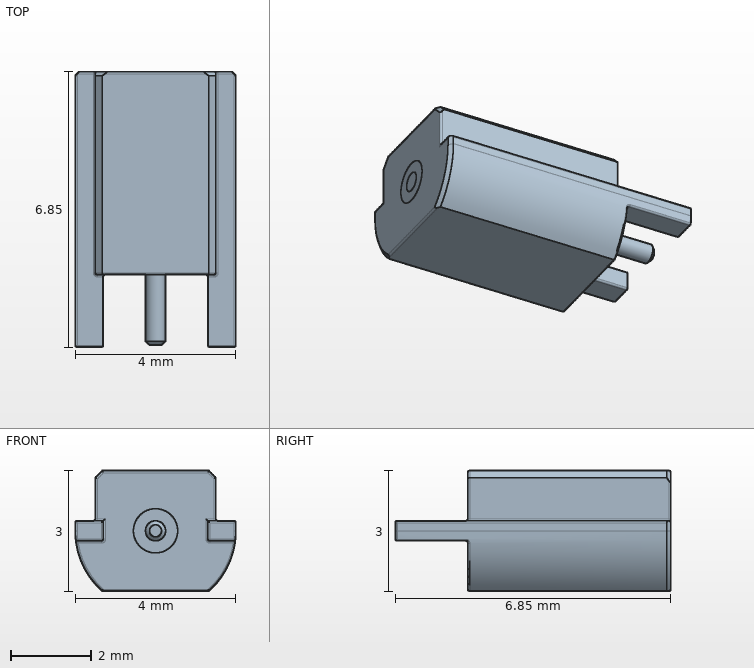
import cadquery as cq
import math


shell_radius = 2.0
half_height = 1.5
block_half_width = 1.5
housing_length = 5.05
top_bevel = 0.18
back_chamfer = 0.1
edge_radius = 0.05

leg_half_height = 0.25
leg_width = 0.7
leg_length = 1.8
leg_inner_x = shell_radius - leg_width

insulator_radius = 0.55
pin_radius = 0.25
pin_protrusion = 1.75
pin_tip_chamfer = 0.1

flat_half_width = math.sqrt(shell_radius**2 - half_height**2)
leg_bottom_x = math.sqrt(shell_radius**2 - leg_half_height**2)
flank_end_angle = math.atan2(half_height, flat_half_width)

tolerance = 0.001


def flank_point(angle, side):
    """Point on the rounded flank at an angle below the horizontal."""
    return (side * shell_radius * math.cos(angle), -shell_radius * math.sin(angle))


def extrude_along_y(sketch, y_start, length):
    """Extrude an XZ sketch in the +Y direction from y_start."""
    return sketch.extrude(-length).translate((0, y_start, 0))


def cylinder_along_y(radius, y_start, y_end):
    return extrude_along_y(cq.Workplane("XZ").circle(radius), y_start, y_end - y_start)


def make_body():
    """Main block: flat bottom, rounded flanks, side ledges and a bevelled top."""
    bevel_x = block_half_width - top_bevel
    bevel_z = half_height - top_bevel
    sketch = (
        cq.Workplane("XZ")
        .moveTo(-flat_half_width, -half_height)
        .lineTo(flat_half_width, -half_height)
        .threePointArc(flank_point(flank_end_angle / 2, 1), (shell_radius, 0))
        .lineTo(shell_radius, leg_half_height)
        .lineTo(block_half_width, leg_half_height)
        .lineTo(block_half_width, bevel_z)
        .lineTo(bevel_x, half_height)
        .lineTo(-bevel_x, half_height)
        .lineTo(-block_half_width, bevel_z)
        .lineTo(-block_half_width, leg_half_height)
        .lineTo(-shell_radius, leg_half_height)
        .lineTo(-shell_radius, 0)
        .threePointArc(flank_point(flank_end_angle / 2, -1), (-flat_half_width, -half_height))
        .close()
    )
    return extrude_along_y(sketch, 0, housing_length)


def make_leg(side):
    """One leg, flush with the rounded flank; it overlaps the ledge by its own width."""
    arc_middle = flank_point(math.asin(leg_half_height / shell_radius) / 2, side)
    sketch = (
        cq.Workplane("XZ")
        .moveTo(side * leg_inner_x, -leg_half_height)
        .lineTo(side * leg_bottom_x, -leg_half_height)
        .threePointArc(arc_middle, (side * shell_radius, 0))
        .lineTo(side * shell_radius, leg_half_height)
        .lineTo(side * leg_inner_x, leg_half_height)
        .close()
    )
    return extrude_along_y(sketch, -leg_length, leg_length + leg_width)


def is_back_chamfer_edge(edge):
    """Back edges of the flanks, the ledge sides and the top bevels."""
    box = edge.BoundingBox()
    on_back = box.ymin > housing_length - tolerance
    on_flank = max(abs(box.xmin), abs(box.xmax)) > shell_radius - tolerance and box.zlen > tolerance
    on_bevel = abs(box.zlen - top_bevel) < tolerance
    return on_back and (on_flank or on_bevel)


def is_back_round_edge(edge):
    """Back edges of the bottom, the ledge tops and the block's top and sides."""
    box = edge.BoundingBox()
    on_back = box.ymin > housing_length - tolerance
    horizontal = box.zlen < tolerance
    block_side = box.xlen < tolerance and abs(abs(box.xmin) - block_half_width) < tolerance
    return on_back and (horizontal or block_side)


def is_front_round_edge(edge):
    """Front rim, leg tips and roots, and the long edges of the ledges and legs."""
    box = edge.BoundingBox()
    center = edge.Center()
    x = abs(center.x)
    if box.ylen < tolerance:
        return center.y < tolerance
    along = box.xlen < tolerance and box.zlen < tolerance
    at_ledge_top = abs(center.z - leg_half_height) < tolerance
    at_leg_bottom = abs(center.z + leg_half_height) < tolerance
    ledge_rim = at_ledge_top and abs(x - shell_radius) < tolerance
    ledge_root = at_ledge_top and abs(x - block_half_width) < tolerance
    leg_lower_rim = at_leg_bottom and abs(x - leg_bottom_x) < tolerance
    leg_inner_rim = at_leg_bottom and abs(x - leg_inner_x) < tolerance
    return along and (ledge_rim or ledge_root or leg_lower_rim or leg_inner_rim)


def pick_edges(part, is_wanted):
    """Select the edges of a part that meet a test."""
    return part.newObject([edge for edge in part.edges().vals() if is_wanted(edge)])


def make_housing():
    housing = make_body()
    for side in (-1, 1):
        housing = housing.union(make_leg(side))
    housing = housing.clean()
    housing = pick_edges(housing, is_back_chamfer_edge).chamfer(back_chamfer)
    housing = pick_edges(housing, is_back_round_edge).fillet(edge_radius)
    housing = pick_edges(housing, is_front_round_edge).fillet(edge_radius)
    return housing.cut(cylinder_along_y(insulator_radius, 0, housing_length))


def make_insulator():
    sleeve = cylinder_along_y(insulator_radius, 0, housing_length)
    return sleeve.cut(cylinder_along_y(pin_radius, 0, housing_length))


def make_pin():
    pin = cylinder_along_y(pin_radius, -pin_protrusion, housing_length)
    return pin.faces("<Y").chamfer(pin_tip_chamfer)


housing = make_housing()
insulator = make_insulator()
pin = make_pin()

result = cq.Compound.makeCompound([housing.val(), insulator.val(), pin.val()])